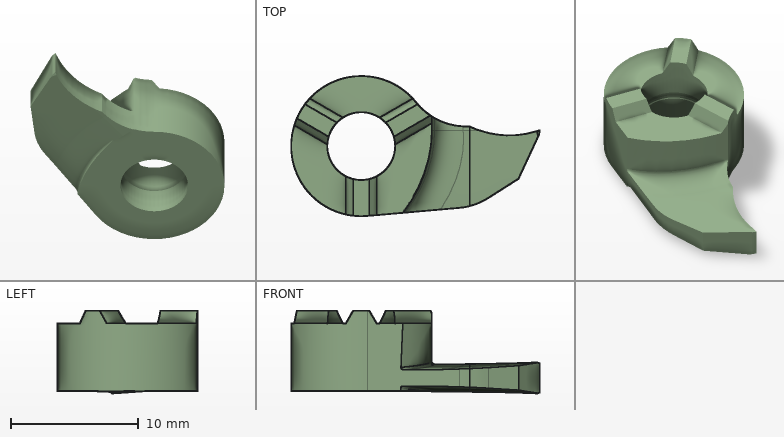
import cadquery as cq
import math

hub_radius = 5.5
hub_height = 5.3
bore_radius = 2.65
groove_floor = 2.47
groove_wall = 0.22
groove_roof = 0.41
groove_depth = 0.12

rib_count = 3
rib_height = 1.0
rib_base_width = 2.43
rib_flank_angle = math.radians(30)
first_rib_angle = 30

tip_x = 14.0
tip_y = 1.26
nose_x = 13.95
nose_y = 0.92
heel_x = 12.33
heel_y = -2.56
joint_x = 8.49
neck_y = 1.55
neck_radius = 5.0
rake_radius = 7.2
belly_radius = 5.0
belly_line_angle = math.radians(5)
heel_line_angle = math.radians(32.5)

wall_x = 5.53
wall_foot_radius = 9.9
wall_rim_radius = 10.6
wall_fillet = 0.2

arm_middle_z = 1.03
neck_half_thickness = 1.085
relief_slope = 0.062
growth_slope = 0.025
growth_start_x = 7.97
growth_edge_radius = 12.3

tip_bevel_length = 0.24
tip_bevel_drop = 0.08

total_height = hub_height + rib_height
outer_margin = 3.0
lower_y = -hub_radius - outer_margin
upper_y = hub_radius + outer_margin
beyond_x = tip_x + outer_margin
below_z = -outer_margin


def circle_point(center, radius, angle):
    return (center[0] + radius * math.cos(angle), center[1] + radius * math.sin(angle))


def arc_middle(start, end, radius):
    """Middle of the shorter arc that bulges to the right when going from start to end."""
    chord_x = end[0] - start[0]
    chord_y = end[1] - start[1]
    chord = math.hypot(chord_x, chord_y)
    bulge = radius - math.sqrt(radius**2 - chord**2 / 4)
    middle_x = (start[0] + end[0]) / 2 + bulge * chord_y / chord
    middle_y = (start[1] + end[1]) / 2 - bulge * chord_x / chord
    return (middle_x, middle_y)


def arc_x(start_x, radius, y):
    """X on an arc that leaves (start_x, tip_y) straight along -Y and curves toward -X."""
    return start_x - radius + math.sqrt(radius**2 - (y - tip_y) ** 2)


def outline(bottom_z, top_z):
    """Prism of the whole plan shape: round hub flowing into the hooked arm."""
    neck_center_y = neck_y + neck_radius
    neck_center_x = math.sqrt((hub_radius + neck_radius) ** 2 - neck_center_y**2)
    neck_center = (neck_center_x, neck_center_y)
    neck_angle = math.atan2(neck_center_y, neck_center_x)
    neck_start = circle_point((0, 0), hub_radius, neck_angle)
    neck_end = (neck_center_x, neck_y)
    neck_middle_angle = (neck_angle - math.pi - math.pi / 2) / 2
    neck_middle = circle_point(neck_center, neck_radius, neck_middle_angle)
    rake_start = (joint_x, neck_y)
    tip = (tip_x, tip_y)

    belly_start = circle_point((0, 0), hub_radius, belly_line_angle - math.pi / 2)
    belly_slope = math.tan(belly_line_angle)
    heel_slope = math.tan(heel_line_angle)
    heel_line_offset = heel_y - heel_slope * heel_x
    belly_line_offset = belly_start[1] - belly_slope * belly_start[0]
    belly_x = (belly_line_offset - heel_line_offset) / (heel_slope - belly_slope)
    belly_y = heel_slope * belly_x + heel_line_offset

    prism = (
        cq.Workplane("XY", origin=(0, 0, bottom_z))
        .moveTo(*neck_start)
        .threePointArc(neck_middle, neck_end)
        .lineTo(*rake_start)
        .threePointArc(arc_middle(rake_start, tip, rake_radius), tip)
        .lineTo(nose_x, nose_y)
        .lineTo(heel_x, heel_y)
        .lineTo(belly_x, belly_y)
        .lineTo(*belly_start)
        .threePointArc((-hub_radius, 0), neck_start)
        .close()
        .extrude(top_z - bottom_z)
    )
    belly_edge = cq.selectors.NearestToPointSelector((belly_x, belly_y, (bottom_z + top_z) / 2))
    return prism.edges("|Z").edges(belly_edge).fillet(belly_radius)


def wall_section(plane, radius):
    """Plan of everything on the hub side of the curved wall."""
    middle_y = (tip_y + lower_y) / 2
    arc_middle_point = (arc_x(wall_x, radius, middle_y), middle_y)
    arc_end = (arc_x(wall_x, radius, lower_y), lower_y)
    return (
        plane.moveTo(-beyond_x, upper_y)
        .lineTo(wall_x, upper_y)
        .lineTo(wall_x, tip_y)
        .threePointArc(arc_middle_point, arc_end)
        .lineTo(-beyond_x, lower_y)
        .close()
    )


def hub_side():
    """Region inside the wall: upright below the arm's middle plane, leaning above it."""
    lower = wall_section(cq.Workplane("XY", origin=(0, 0, below_z)), wall_foot_radius)
    lower = lower.extrude(arm_middle_z - below_z)
    upper = wall_section(cq.Workplane("XY", origin=(0, 0, arm_middle_z)), wall_foot_radius)
    upper = wall_section(upper.workplane(offset=total_height - arm_middle_z), wall_rim_radius)
    return lower.union(upper.loft(ruled=True))


def rib(angle):
    """Trapezoid rib running outward from the axis."""
    half_base = rib_base_width / 2
    half_top = half_base - rib_height * math.tan(rib_flank_angle)
    return (
        cq.Workplane("YZ", origin=(0, 0, hub_height))
        .polyline([(-half_base, 0), (half_base, 0), (half_top, rib_height), (-half_top, rib_height)])
        .close()
        .extrude(hub_radius + outer_margin)
        .rotate((0, 0, 0), (0, 0, 1), angle)
    )


def bore():
    """Through hole with a ring groove: tapered roof, upright wall, flat floor."""
    roof_start = groove_floor + groove_wall
    return (
        cq.Workplane("XZ")
        .moveTo(0, below_z)
        .lineTo(bore_radius, below_z)
        .lineTo(bore_radius, groove_floor)
        .lineTo(bore_radius + groove_depth, groove_floor)
        .lineTo(bore_radius + groove_depth, roof_start)
        .lineTo(bore_radius, roof_start + groove_roof)
        .lineTo(bore_radius, total_height + outer_margin)
        .lineTo(0, total_height + outer_margin)
        .close()
        .revolve(360, (0, 0, 0), (0, 1, 0))
    )


def half_thickness(x, y):
    """Half the arm thickness where it grows toward the tip."""
    relief = relief_slope * min(y - tip_y, 0)
    return neck_half_thickness + growth_slope * (x - growth_start_x) + relief


def neck_web():
    """Constant section along X: flat behind the cutting edge, thinning toward the belly."""
    middle_y = (tip_y + lower_y) / 2
    middle_half = half_thickness(arc_x(growth_start_x, growth_edge_radius, middle_y), middle_y)
    lower_half = half_thickness(arc_x(growth_start_x, growth_edge_radius, lower_y), lower_y)
    return (
        cq.Workplane("YZ", origin=(0, 0, arm_middle_z))
        .moveTo(upper_y, neck_half_thickness)
        .lineTo(tip_y, neck_half_thickness)
        .threePointArc((middle_y, middle_half), (lower_y, lower_half))
        .lineTo(lower_y, -lower_half)
        .threePointArc((middle_y, -middle_half), (tip_y, -neck_half_thickness))
        .lineTo(upper_y, -neck_half_thickness)
        .close()
        .extrude(beyond_x)
    )


def blade_section(plane, x):
    """Arm cross-section at x, where the thickness is still growing."""
    upper_half = half_thickness(x, tip_y)
    lower_half = half_thickness(x, lower_y)
    return plane.polyline(
        [
            (upper_y, upper_half),
            (tip_y, upper_half),
            (lower_y, lower_half),
            (lower_y, -lower_half),
            (tip_y, -upper_half),
            (upper_y, -upper_half),
        ]
    ).close()


def blade_web():
    """Section with the same relief that thickens steadily toward the tip."""
    sections = blade_section(cq.Workplane("YZ", origin=(0, 0, arm_middle_z)), 0)
    sections = blade_section(sections.workplane(offset=beyond_x), beyond_x)
    return sections.loft(ruled=True)


def tip_bevel(side):
    """Wedge that trims the upper (side = 1) or lower (side = -1) corner of the tip."""
    start_x = tip_x - tip_bevel_length
    start_z = half_thickness(start_x, tip_y)
    end_x = start_x + 2 * tip_bevel_length
    end_z = start_z - 2 * tip_bevel_drop
    clear_z = start_z + outer_margin
    return (
        cq.Workplane("XZ", origin=(0, upper_y, arm_middle_z))
        .moveTo(start_x, side * start_z)
        .lineTo(end_x, side * end_z)
        .lineTo(end_x, side * clear_z)
        .lineTo(start_x, side * clear_z)
        .close()
        .extrude(upper_y - lower_y)
    )


def filleted_drop(inside_wall, web):
    """Hub side and web together, rounded along the foot of the wall on both faces of the web."""
    block = inside_wall.union(web)
    for side in (1, -1):
        wall_foot = cq.selectors.BoxSelector(
            (0, -hub_radius, arm_middle_z),
            (wall_x + wall_fillet, hub_radius, arm_middle_z + side * (neck_half_thickness + wall_fillet)),
        )
        block = block.edges(wall_foot).fillet(wall_fillet)
    return block


inside_wall = hub_side()
web = neck_web().union(blade_web())

hub = outline(0, hub_height).intersect(filleted_drop(inside_wall, web))
rib_limit = outline(hub_height, total_height).intersect(inside_wall)
for index in range(rib_count):
    hub = hub.union(rib(first_rib_angle + index * 360 / rib_count).intersect(rib_limit))

arm = outline(below_z, hub_height).intersect(web).cut(inside_wall)
for side in (1, -1):
    arm = arm.cut(tip_bevel(side))

blade_space = cq.Workplane("XY").box(
    beyond_x - joint_x, upper_y - lower_y, 2 * total_height, centered=(False, True, True)
)
blade_space = blade_space.translate((joint_x, 0, 0))
shank = hub.union(arm).cut(blade_space).cut(bore())
cutting_tip = arm.intersect(blade_space)

result = cq.Compound.makeCompound([shank.val(), cutting_tip.val()])